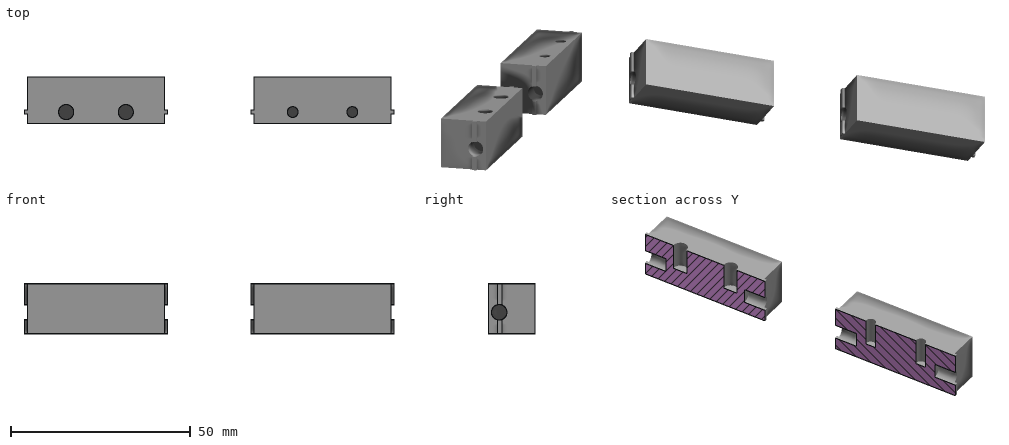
import cadquery as cq

block_length = 38.2
block_width = 13.0
block_height = 14.0
block_pitch = 63.0

ridge_projection = 0.8
ridge_width = 1.2

hole_line_y = 3.2
screw_hole_spacing = 16.6
screw_hole_depth = 8.0
m3_hole_diameter = 4.2
m25_hole_diameter = 3.0

end_hole_diameter = 4.3
end_hole_y = 3.0
end_hole_z = 6.0
end_hole_depth = 6.0


def block_with_ridges(center_x):
    """Plain block, front face on Y = 0, with one full-height ridge on each end."""
    body = cq.Workplane("XY").box(
        block_length, block_width, block_height, centered=(True, False, False)
    )
    ridges = (
        cq.Workplane("XY")
        .center(0, hole_line_y)
        .rect(block_length + 2 * ridge_projection, ridge_width)
        .extrude(block_height)
    )
    return body.union(ridges).translate((center_x, 0, 0))


def screw_holes(center_x, diameter):
    """Two blind holes drilled down from the top face."""
    return (
        cq.Workplane("XY", origin=(center_x, hole_line_y, block_height))
        .rarray(screw_hole_spacing, 1, 2, 1)
        .circle(diameter / 2)
        .extrude(-screw_hole_depth)
    )


def end_hole(center_x, side):
    """Blind hole along X, cut from outside the ridge; side is -1 or +1."""
    outer_x = center_x + side * (block_length / 2 + ridge_projection)
    return (
        cq.Workplane("YZ", origin=(outer_x, end_hole_y, end_hole_z))
        .circle(end_hole_diameter / 2)
        .extrude(-side * (ridge_projection + end_hole_depth))
    )


def insert_block(center_x, screw_hole_diameter):
    """One complete block with its screw holes and end holes."""
    body = block_with_ridges(center_x).cut(screw_holes(center_x, screw_hole_diameter))
    for side in (-1, 1):
        body = body.cut(end_hole(center_x, side))
    return body


m3_block = insert_block(-block_pitch / 2, m3_hole_diameter)
m25_block = insert_block(block_pitch / 2, m25_hole_diameter)

result = cq.Compound.makeCompound([m3_block.val(), m25_block.val()])